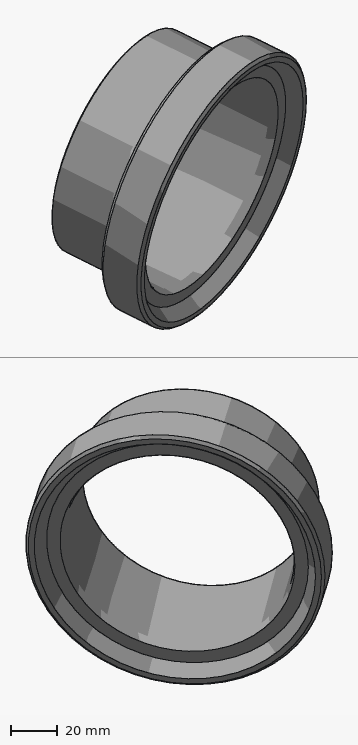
import cadquery as cq
import math

length = 54.0
flange_radius = 65.0
tube_radius = 106.0 / 2
bore_radius = 100.0 / 2

tube_bevel_length = 1.0
tube_bevel_depth = 1.8

flange_width = 20.3
front_chamfer_length = 1.7
front_chamfer_depth = 1.7
back_chamfer = 1.3
face_slope = math.radians(10)
fillet_radius = 4.0

recess_floor_radius = 113.8 / 2
recess_mouth_radius = 61.1
recess_depth = 6.1
flare_length = 3.9
flare_angle = math.radians(15)
flare_radius = bore_radius + flare_length * math.tan(flare_angle)

tube_end = -length / 2
flange_back = length / 2
flange_front = flange_back - flange_width
recess_floor = flange_back - recess_depth

face_rim_radius = flange_radius - front_chamfer_depth
fillet_center_radius = tube_radius + fillet_radius


def fillet_point(center_x, angle):
    """Point on the fillet, with the angle measured from the tube toward the flange."""
    return (
        center_x + fillet_radius * math.sin(angle),
        fillet_center_radius - fillet_radius * math.cos(angle),
    )


fillet_sweep = math.pi / 2 - face_slope
fillet_top_radius = fillet_point(0, fillet_sweep)[1]
fillet_top_x = flange_front - (face_rim_radius - fillet_top_radius) * math.tan(face_slope)
fillet_start_x = fillet_top_x - fillet_radius * math.sin(fillet_sweep)

profile = (
    cq.Workplane("XY")
    .moveTo(tube_end, bore_radius)
    .lineTo(tube_end, tube_radius - tube_bevel_depth)
    .lineTo(tube_end + tube_bevel_length, tube_radius)
    .lineTo(fillet_start_x, tube_radius)
    .threePointArc(
        fillet_point(fillet_start_x, fillet_sweep / 2),
        fillet_point(fillet_start_x, fillet_sweep),
    )
    .lineTo(flange_front, face_rim_radius)
    .lineTo(flange_front + front_chamfer_length, flange_radius)
    .lineTo(flange_back - back_chamfer, flange_radius)
    .lineTo(flange_back, flange_radius - back_chamfer)
    .lineTo(flange_back, recess_mouth_radius)
    .lineTo(recess_floor, recess_floor_radius)
    .lineTo(recess_floor, flare_radius)
    .lineTo(recess_floor - flare_length, bore_radius)
    .close()
)

result = profile.revolve(360, (0, 0, 0), (1, 0, 0))